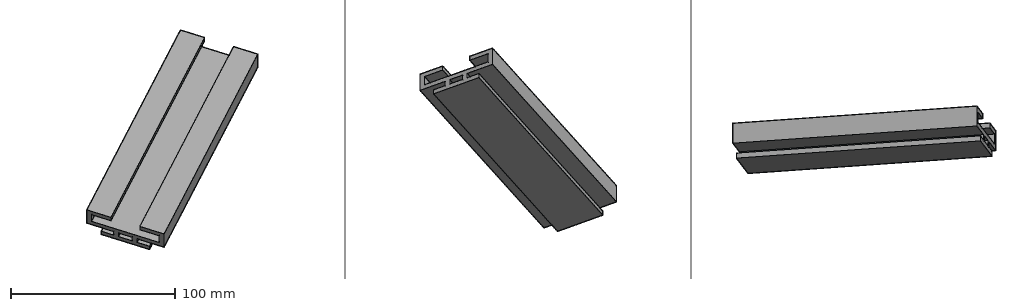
import cadquery as cq

length = 152.4
width = 50.7
height = 19.4

wall = 3.2
channel_height = 12.8
slot_width = 18.9

flange_width = 31.7
flange_thickness = 3.2
web_thickness = 3.2
web_gap = 9.0

channel_bottom = height - channel_height
web_height = channel_bottom - flange_thickness
web_offset = (web_gap + web_thickness) / 2


def bar(bar_width, bar_height, bottom, center_x=0):
    """Full-length rectangular bar, centred on Y, with its underside at the given Z."""
    return (
        cq.Workplane("XY")
        .box(bar_width, length, bar_height, centered=(True, True, False))
        .translate((center_x, 0, bottom))
    )


channel = bar(width, channel_height, channel_bottom)
cavity = bar(width - 2 * wall, channel_height - 2 * wall, channel_bottom + wall)
slot = bar(slot_width, wall, height - wall)
result = channel.cut(cavity).cut(slot)

for side in (-1, 1):
    result = result.union(bar(web_thickness, web_height, flange_thickness, side * web_offset))
result = result.union(bar(flange_width, flange_thickness, 0))